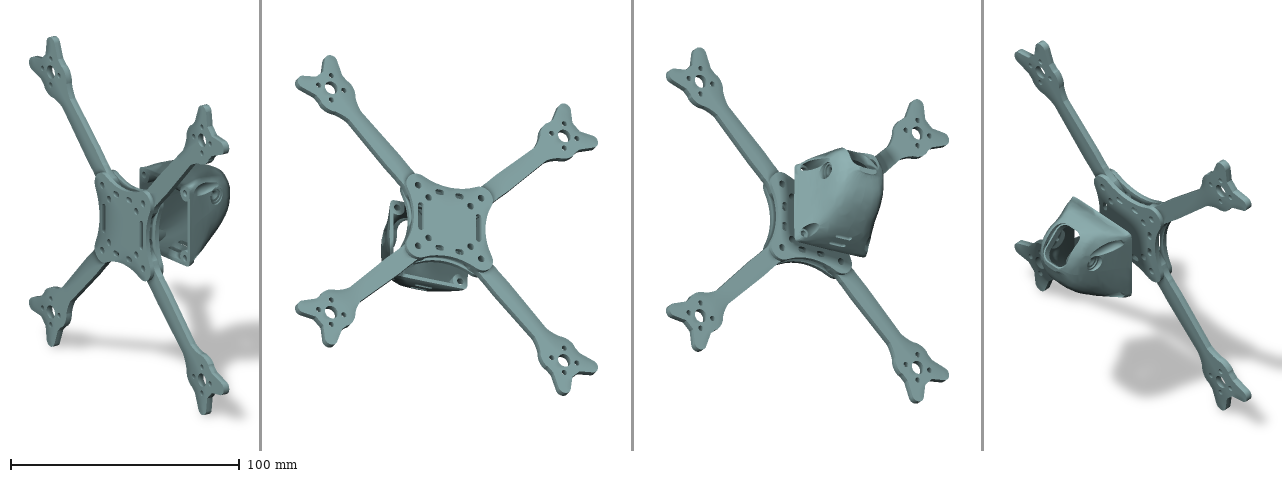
import cadquery as cq
import math


PLATE_THICKNESS = 2.0
ARM_THICKNESS = 3.0
POD_GAP = 15.7
ARM_Y = PLATE_THICKNESS
REAR_PLATE_Y = ARM_Y + ARM_THICKNESS
POD_Y = REAR_PLATE_Y + PLATE_THICKNESS + POD_GAP

CORNER_HOLE_OFFSET = 15.0
CORNER_HOLE_DIAMETER = 3.1
INNER_HOLE_OFFSET = 10.0
INNER_HOLE_DIAMETER = 3.1

PLATE_CORNER_RADIUS = 5.6
PLATE_WAIST = 17.0
SLOT_OFFSET = 13.7
SLOT_SPACING = 9.5
SLOT_LENGTH = 4.2
SLOT_WIDTH = 2.6
LONG_SLOT_LENGTH = SLOT_SPACING + SLOT_LENGTH

OVERALL_SIZE = 143.2
MOTOR_OFFSET = 55.5
LOBE_REACH = OVERALL_SIZE / 2 - MOTOR_OFFSET
MOTOR_BORE_DIAMETER = 6.0
MOTOR_SCREW_DIAMETER = 2.5
MOTOR_SCREW_RADIUS = 6.0
TONGUE_THICKNESS = 1.0
CHANNEL_WIDTH = 11.5

POD_LENGTH = 31.4
POD_WALL = 1.7
POD_FLANGE = 2.1
POD_HOLE_DIAMETER = 3.0
ACCESS_BORE_DIAMETER = 5.0
PAD_DIAMETER = 7.2
POD_SECTIONS = [
    (0.0, 18.6, -18.6, 18.6, 0.98),
    (2.9, 17.8, -18.6, 18.9, 0.95),
    (7.9, 16.3, -17.5, 21.0, 0.83),
    (15.0, 14.3, -14.7, 22.0, 0.68),
    (21.5, 12.9, -10.2, 21.5, 0.63),
    (25.9, 11.3, -5.7, 18.9, 0.6),
    (29.3, 8.3, 1.5, 14.0, 0.56),
    (POD_LENGTH, 4.3, 6.3, 9.7, 0.5),
]

WINDOW_WIDTH = 14.6
WINDOW_HEIGHT = 19.2
WINDOW_CORNER_RADIUS = 5.2
WINDOW_LIP = 0.7
WINDOW_LIP_DEPTH = 3.6
WINDOW_CUT_DEPTH = 11.5
WINDOW_TILT = 45.0
WINDOW_DISTANCE = 24.3
WINDOW_Z = 15.3
PIVOT_DISTANCE = 18.2
PIVOT_Z = 9.6
PIVOT_HOLE_DIAMETER = 2.0
PIVOT_SINK_DIAMETER = 4.0
PIVOT_BORE_DIAMETER = 6.0
PIVOT_FACE_DIAMETER = 7.7
PIVOT_FACE_X = 12.3
PIVOT_BORE_DEPTH = 0.7
PIVOT_BOSS_DIAMETER = 9.2
PIVOT_BOSS_LENGTH = 3.1
STRAP_SLOT_LENGTH = 8.2
STRAP_SLOT_WIDTH = 2.0
STRAP_SLOT_DISTANCES = (5.7, 11.0)
STRAP_SLOT_TOP_Z = -11.5


def at_y(y):
    """Workplane with local axes X and Z; a negative extrusion runs towards +Y."""
    return cq.Workplane("XZ", origin=(0, y, 0))


def four_points(x, z):
    return [(side_x * x, side_z * z) for side_x in (-1, 1) for side_z in (-1, 1)]


def bores(points, diameter, y, depth):
    return at_y(y).pushPoints(points).circle(diameter / 2).extrude(-depth)


def plate_outline(y):
    """Round corners about the corner holes, joined by tangent concave sides."""
    waist = PLATE_WAIST
    rise = waist - CORNER_HOLE_OFFSET
    side_reach = CORNER_HOLE_OFFSET**2 + rise**2 - PLATE_CORNER_RADIUS**2
    side_radius = side_reach / (2 * (PLATE_CORNER_RADIUS - rise))
    side_center = waist + side_radius
    share = side_radius / (side_radius + PLATE_CORNER_RADIUS)
    near = CORNER_HOLE_OFFSET * share
    far = side_center - (side_center - CORNER_HOLE_OFFSET) * share
    tip = CORNER_HOLE_OFFSET + PLATE_CORNER_RADIUS / math.sqrt(2)
    outline = at_y(y).moveTo(-near, far)
    stops = [(0, waist), (near, far), (tip, tip), (far, near)]
    for _ in range(4):
        side_middle, corner_start, corner_tip, corner_end = stops
        outline = outline.threePointArc(side_middle, corner_start).threePointArc(corner_tip, corner_end)
        stops = [(z, -x) for x, z in stops]
    return outline.close()


def slots(points, length, angle, y):
    return at_y(y).pushPoints(points).slot2D(length, SLOT_WIDTH, angle).extrude(-PLATE_THICKNESS)


def plate_blank(y):
    """Plate with the features that both plates share."""
    corner_holes = four_points(CORNER_HOLE_OFFSET, CORNER_HOLE_OFFSET)
    inner_holes = four_points(INNER_HOLE_OFFSET, INNER_HOLE_OFFSET)
    flat_slots = four_points(SLOT_SPACING / 2, SLOT_OFFSET)
    return (
        plate_outline(y)
        .extrude(-PLATE_THICKNESS)
        .cut(bores(corner_holes, CORNER_HOLE_DIAMETER, y, PLATE_THICKNESS))
        .cut(bores(inner_holes, INNER_HOLE_DIAMETER, y, PLATE_THICKNESS))
        .cut(slots(flat_slots, SLOT_LENGTH, 0, y))
    )


def make_front_plate():
    sides = [(-SLOT_OFFSET, 0), (SLOT_OFFSET, 0)]
    return plate_blank(0).cut(slots(sides, LONG_SLOT_LENGTH, 90, 0))


def make_rear_plate():
    sides = four_points(SLOT_OFFSET, SLOT_SPACING / 2)
    return plate_blank(REAR_PLATE_Y).cut(slots(sides, SLOT_LENGTH, 90, REAR_PLATE_Y))


def arm_half():
    """The part of the +X +Z arm above its diagonal, at full thickness."""
    m = MOTOR_OFFSET
    return (
        at_y(ARM_Y)
        .moveTo(0, 0)
        .lineTo(0, 7.9)
        .lineTo(11.0, 18.9)
        .lineTo(12.9, 19.8)
        .threePointArc((14.6, 20.8), (16.0, 22.0))
        .lineTo(17.0, 23.2)
        .lineTo(18.0, 24.0)
        .lineTo(22.9, 29.2)
        .lineTo(m - 14.0, m - 8.6)
        .threePointArc((m - 12.6, m - 5.9), (m - 11.5, m - 2.3))
        .threePointArc((m - 10.5, m + 2.1), (m - 8.5, m + 4.6))
        .threePointArc((m - 7.7, m + 4.9), (m - 7.0, m + 5.5))
        .lineTo(m - 5.2, m + 7.3)
        .lineTo(m - 2.7, m + 14.0)
        .threePointArc((m, m + LOBE_REACH), (m + 3.0, m + 13.9))
        .lineTo(m + 3.9, m + 7.3)
        .lineTo(m + 5.6, m + 5.6)
        .close()
        .extrude(-ARM_THICKNESS)
    )


def make_arm():
    """The +X +Z arm; its thin tongue meets the other three at the centre."""
    half = arm_half()
    arm = half.union(half.mirror(cq.Vector(1, 0, -1), (0, 0, 0)))
    channel_depth = ARM_THICKNESS - TONGUE_THICKNESS
    for width, height in ((CHANNEL_WIDTH, OVERALL_SIZE), (OVERALL_SIZE, CHANNEL_WIDTH)):
        arm = arm.cut(at_y(ARM_Y).rect(width, height).extrude(-channel_depth))
    motor = [(MOTOR_OFFSET, MOTOR_OFFSET)]
    screws = [(MOTOR_OFFSET + step, MOTOR_OFFSET) for step in (-MOTOR_SCREW_RADIUS, MOTOR_SCREW_RADIUS)]
    screws += [(z, x) for x, z in screws]
    corner_hole = [(CORNER_HOLE_OFFSET, CORNER_HOLE_OFFSET)]
    inner_hole = [(INNER_HOLE_OFFSET, INNER_HOLE_OFFSET)]
    return (
        arm.cut(bores(motor, MOTOR_BORE_DIAMETER, ARM_Y, ARM_THICKNESS))
        .cut(bores(screws, MOTOR_SCREW_DIAMETER, ARM_Y, ARM_THICKNESS))
        .cut(bores(corner_hole, CORNER_HOLE_DIAMETER, ARM_Y, ARM_THICKNESS))
        .cut(bores(inner_hole, INNER_HOLE_DIAMETER, ARM_Y, ARM_THICKNESS))
    )


def section_wire(distance, half_width, bottom, top, squareness):
    """Closed smooth section at a distance behind the pod's base, from four mirrored quarter curves."""
    middle = (top + bottom) / 2
    half_height = (top - bottom) / 2
    shoulder = (1, squareness)
    crown = (squareness, 1)
    quarter = [(1, 0), shoulder, shoulder, crown, crown, (0, 1)]
    edges = []
    for side_x, side_z in ((1, 1), (-1, 1), (-1, -1), (1, -1)):
        points = [
            cq.Vector(side_x * across * half_width, POD_Y + distance, middle + side_z * up * half_height)
            for across, up in quarter
        ]
        if side_x != side_z:
            points.reverse()
        edges.append(cq.Edge.makeBezier(points))
    return cq.Wire.assembleEdges(edges)


def pod_outside():
    return cq.Workplane(cq.Solid.makeLoft([section_wire(*section) for section in POD_SECTIONS]))


def pod_cavity():
    """The outer shape without its tip, smaller by the wall thickness all round."""
    wires = [
        section_wire(distance, half_width - POD_WALL, bottom + POD_WALL, top - POD_WALL, squareness)
        for distance, half_width, bottom, top, squareness in POD_SECTIONS[:-1]
    ]
    return cq.Workplane(cq.Solid.makeLoft(wires))


def window_block(margin, outward, inward):
    """Rounded block along the tilted window axis, between two depths about the lip's plane."""
    tilt = math.radians(WINDOW_TILT)
    normal = cq.Vector(0, math.cos(tilt), math.sin(tilt))
    center = cq.Vector(0, POD_Y + WINDOW_DISTANCE, WINDOW_Z)
    plane = cq.Plane(center - normal * inward, (1, 0, 0), normal)
    shape = cq.Sketch().rect(WINDOW_WIDTH - 2 * margin, WINDOW_HEIGHT - 2 * margin)
    shape = shape.vertices().fillet(WINDOW_CORNER_RADIUS - margin)
    return cq.Workplane(plane).placeSketch(shape).extrude(inward + outward)


def pivot_cylinder(side, diameter, x_start, length):
    """Cylinder on the camera pivot axis, running outwards on one side."""
    plane = cq.Plane((side * x_start, POD_Y + PIVOT_DISTANCE, PIVOT_Z), (0, 1, 0), (side, 0, 0))
    return cq.Workplane(plane).circle(diameter / 2).extrude(length)


def pivot_sink(side):
    """Screw hole and its 90 degree countersink."""
    sink_depth = (PIVOT_SINK_DIAMETER - PIVOT_HOLE_DIAMETER) / 2
    seat_x = PIVOT_FACE_X - PIVOT_BORE_DEPTH
    cone = cq.Solid.makeCone(
        PIVOT_SINK_DIAMETER / 2,
        PIVOT_HOLE_DIAMETER / 2,
        sink_depth,
        cq.Vector(side * seat_x, POD_Y + PIVOT_DISTANCE, PIVOT_Z),
        cq.Vector(-side, 0, 0),
    )
    return pivot_cylinder(side, PIVOT_HOLE_DIAMETER, 0, seat_x).union(cq.Workplane(cone))


def make_pod():
    corners = four_points(CORNER_HOLE_OFFSET, CORNER_HOLE_OFFSET)
    outside = pod_outside()

    cavity = pod_cavity().cut(bores(corners, PAD_DIAMETER, POD_Y, POD_LENGTH))
    for side in (-1, 1):
        boss_x = PIVOT_FACE_X - PIVOT_BOSS_LENGTH
        cavity = cavity.cut(pivot_cylinder(side, PIVOT_BOSS_DIAMETER, boss_x, POD_LENGTH))
    pod = outside.cut(cavity)

    pod = pod.cut(bores(corners, POD_HOLE_DIAMETER, POD_Y, POD_FLANGE))
    pod = pod.cut(bores(corners, ACCESS_BORE_DIAMETER, POD_Y + POD_FLANGE, POD_LENGTH))

    lip = window_block(0, 0, WINDOW_LIP_DEPTH).intersect(outside)
    pod = pod.cut(window_block(0, WINDOW_CUT_DEPTH, 0)).union(lip)
    pod = pod.cut(window_block(WINDOW_LIP, WINDOW_CUT_DEPTH, WINDOW_CUT_DEPTH))

    bore_x = PIVOT_FACE_X - PIVOT_BORE_DEPTH
    for side in (-1, 1):
        pod = pod.cut(pivot_cylinder(side, PIVOT_FACE_DIAMETER, PIVOT_FACE_X, POD_LENGTH))
        pod = pod.cut(pivot_cylinder(side, PIVOT_BORE_DIAMETER, bore_x, PIVOT_BORE_DEPTH))
        pod = pod.cut(pivot_sink(side))

    for distance in STRAP_SLOT_DISTANCES:
        plane = cq.Workplane("XY", origin=(0, POD_Y + distance, STRAP_SLOT_TOP_Z))
        pod = pod.cut(plane.slot2D(STRAP_SLOT_LENGTH, STRAP_SLOT_WIDTH).extrude(-POD_LENGTH))
    return pod


front_plate = make_front_plate()
rear_plate = make_rear_plate()
arms = [make_arm().rotate((0, 0, 0), (0, 1, 0), 90 * turn) for turn in range(4)]
pod = make_pod()

result = cq.Compound.makeCompound(
    [*front_plate.solids().vals(), *rear_plate.solids().vals()]
    + [solid for arm in arms for solid in arm.solids().vals()]
    + pod.solids().vals()
)